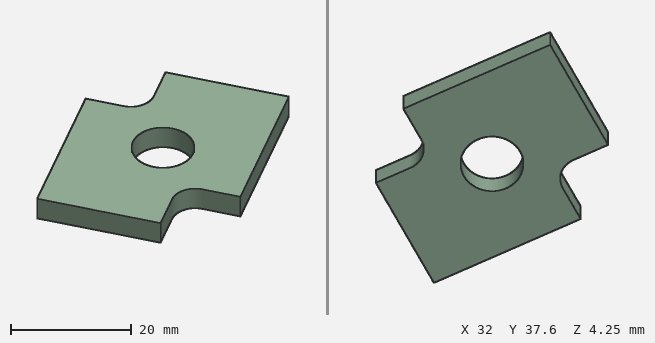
import cadquery as cq

width = 32.0
length = 37.6
thickness = 4.25

hole_diameter = 10.4

notch_width = 10.6
notch_length = 10.4
notch_radius = 4.0


def corner_notch(side):
    """Cutter for one corner: side +1 is (-X, +Y), side -1 is (+X, -Y)."""
    return (
        cq.Workplane("XY")
        .center(-side * width / 2, side * length / 2)
        .rect(2 * notch_width, 2 * notch_length)
        .extrude(thickness)
        .edges("|Z")
        .fillet(notch_radius)
    )


plate = cq.Workplane("XY").rect(width, length).extrude(thickness)
plate = plate.faces(">Z").workplane().hole(hole_diameter)

for side in (1, -1):
    plate = plate.cut(corner_notch(side))

result = plate